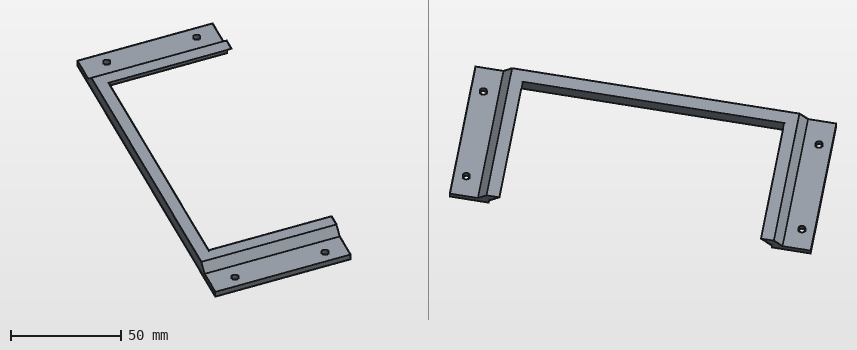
import cadquery as cq

length = 166.0
depth = 66.0
height = 7.0

flange_thickness = 3.0
flange_width = 13.0
slope_run = height - flange_thickness
rail_width = 6.0
lip_height = 2.0

hole_diameter = 3.3
hole_edge_offset = 5.8
hole_front_offset = 12.0
hole_spacing = 44.0

half_length = length / 2
slope_foot = half_length - flange_width
slope_top = slope_foot - slope_run
opening_half_width = slope_top - rail_width


def make_body():
    """Low plate with a raised middle, extruded from front to back."""
    profile = [
        (-half_length, 0),
        (half_length, 0),
        (half_length, flange_thickness),
        (slope_foot, flange_thickness),
        (slope_top, height),
        (-slope_top, height),
        (-slope_foot, flange_thickness),
        (-half_length, flange_thickness),
    ]
    return cq.Workplane("XZ").polyline(profile).close().extrude(-depth)


def make_opening():
    """Opening between the arms, open at the back, with undercut sides above a vertical lip."""
    lip_half_width = opening_half_width + height - lip_height
    profile = [
        (-lip_half_width, 0),
        (lip_half_width, 0),
        (lip_half_width, lip_height),
        (opening_half_width, height),
        (-opening_half_width, height),
        (-lip_half_width, lip_height),
    ]
    opening = cq.Workplane("XZ").polyline(profile).close().extrude(rail_width - depth)
    return opening.translate((0, rail_width, 0))


def make_holes():
    """Two through holes in each side flange."""
    hole_x = half_length - hole_edge_offset
    points = [
        (side * hole_x, hole_front_offset + step * hole_spacing)
        for side in (-1, 1)
        for step in (0, 1)
    ]
    return cq.Workplane("XY").pushPoints(points).circle(hole_diameter / 2).extrude(height)


result = make_body().cut(make_opening()).cut(make_holes())